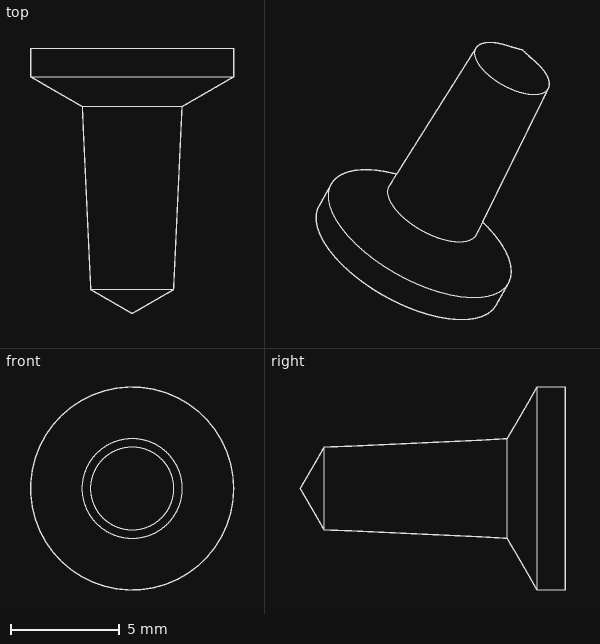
import cadquery as cq
import math

overall_length = 12.2
head_diameter = 9.35
head_rim_thickness = 1.31
shank_root_diameter = 4.6
shank_tip_diameter = 3.82
cone_half_angle = 60.0

head_radius = head_diameter / 2
root_radius = shank_root_diameter / 2
tip_radius = shank_tip_diameter / 2
cone_slope = math.tan(math.radians(cone_half_angle))
head_cone_length = (head_radius - root_radius) / cone_slope
point_length = tip_radius / cone_slope

rim_edge_y = -head_rim_thickness
shank_root_y = rim_edge_y - head_cone_length
point_apex_y = -overall_length
shank_tip_y = point_apex_y + point_length


def half_profile():
    """Closed outline of one half of the lengthwise section, from the axis outwards."""
    return (
        cq.Workplane("XY")
        .moveTo(0, 0)
        .lineTo(head_radius, 0)
        .lineTo(head_radius, rim_edge_y)
        .lineTo(root_radius, shank_root_y)
        .lineTo(tip_radius, shank_tip_y)
        .lineTo(0, point_apex_y)
        .close()
    )


result = half_profile().revolve(360, (0, 0, 0), (0, 1, 0))